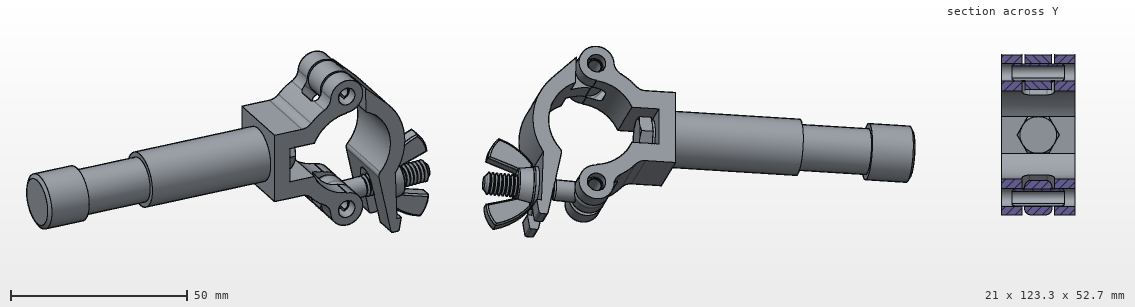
import cadquery as cq
import math


overall_length = 123.3
clamp_width = 21.0
half_width = clamp_width / 2
tube_radius = 12.6
ring_radius = 17.1
eye_radius = 5.0
pivot_y = -1.2
pivot_z = 17.8
pin_radius = 2.6
pin_bore_radius = 1.8
pin_half_length = 7.4
pin_slit_width = 1.7
pin_chamfer = 0.5

block_half_height = 10.5
block_end_y = -24.0
head_slot_half_height = block_half_height / 2
head_slot_floor_y = -19.2
neck_fillet = 4.0
gap_half_width = 4.6
gap_floor_y = -8.8
gap_floor_slope = 45.0
gap_corner_radius = 2.1

spigot_radius = 8.0
groove_radius = 6.5
groove_start_y = -61.4
groove_end_y = -81.4
spigot_chamfer_radial = 1.2
spigot_chamfer_axial = 0.7

hex_across_flats = 10.4
hex_head_height = 3.7
hex_collar_height = 0.7
hex_chamfer_radial = 0.7
hex_chamfer_axial = 0.4
bolt_radius = 3.0
hex_shank_depth = 12.3

swing_tilt = 2.2
swing_end = 30.6
swing_tip_radius = 1.8
swing_tip_chamfer = 1.1
swing_eye_fillet = 2.0
swing_eye_flat = 4.6
swing_eye_half_width = 4.0
tongue_half_width = 3.8
thread_root_radius = 2.3
thread_crest_radius = 3.2
thread_pitch = 1.13
thread_flat = 0.1
thread_start = 10.1
thread_turns = 17

seat_distance = 15.7
washer_radius = 6.2
washer_thickness = 1.0
hub_length = 4.7
hub_collar_radius = 6.0
hub_collar_height = 0.5
hub_base_radius = 5.8
hub_tip_radius = 5.2
hub_chamfer = 0.4
wing_half_thickness = 2.2
wing_chamfer = 0.5

cheek_distance = 5.9
nose_angle = -46.0
nose_fillet = 1.7
foot_fillet = 0.6
lip_across = -7.0
lip_distance = 17.0
foot_across = -11.1
foot_inner_distance = 13.7
foot_outer_distance = 16.2
jaw_slot_half_width = 3.5
jaw_slot_rise = 2.1

overcut = 1.2


def box(x0, x1, y0, y1, z0, z1):
    """Block between the given limits along each axis."""
    return cq.Workplane("XY").box(x1 - x0, y1 - y0, z1 - z0, centered=False).translate((x0, y0, z0))


def cross_cylinder(radius, half_length, y=0.0, z=0.0):
    """Cylinder parallel to X, centred on X = 0."""
    return cq.Workplane("YZ").center(y, z).circle(radius).extrude(half_length, both=True)


def axial_turning(points):
    """Solid of revolution about Y from (radius, y) points."""
    return cq.Workplane("XY").polyline(points).close().revolve(360, (0, 0, 0), (0, 1, 0))


def tilt(body):
    """Move a body built along +Y from the origin onto the swing bolt's axis."""
    return body.rotate((0, 0, 0), (1, 0, 0), swing_tilt).translate((0, pivot_y, -pivot_z))


def tilted_point(along, across):
    """(Y, Z) of a point given along and across the swing bolt's direction from the lower pivot."""
    c = math.cos(math.radians(swing_tilt))
    s = math.sin(math.radians(swing_tilt))
    return (pivot_y + along * c - across * s, -pivot_z + along * s + across * c)


def polar(radius, degrees):
    """(Y, Z) at an angle from +Y, about the tube's axis."""
    return (radius * math.cos(math.radians(degrees)), radius * math.sin(math.radians(degrees)))


def neck_corner():
    """(Y, Z) where the ring's outside meets the outside of the upper eye."""
    distance = math.hypot(pivot_y, pivot_z)
    along = (ring_radius**2 - eye_radius**2 + distance**2) / (2 * distance)
    offset = math.sqrt(ring_radius**2 - along**2)
    unit_y = pivot_y / distance
    unit_z = pivot_z / distance
    return (along * unit_y - offset * unit_z, along * unit_z + offset * unit_y)


def make_knuckle_gap():
    """Cutter for the gap between the upper ears; its sloping floor leads into the bore."""
    size = 4 * eye_radius
    gap_floor_z = math.sqrt(ring_radius**2 - gap_floor_y**2)
    gap = box(-gap_half_width, gap_half_width, 0, size, -size / 2, size)
    gap = gap.edges("|Z and <Y").fillet(gap_corner_radius)
    return gap.rotate((0, 0, 0), (1, 0, 0), 90 - gap_floor_slope).translate((0, gap_floor_y, gap_floor_z))


def make_saddle():
    ring_half = cross_cylinder(ring_radius, half_width).intersect(
        box(-half_width, half_width, -ring_radius, pivot_y, -ring_radius, ring_radius)
    )
    block = box(-half_width, half_width, block_end_y, -tube_radius / 2, -block_half_height, block_half_height)
    body = ring_half.union(block)
    for side in (1, -1):
        body = body.union(cross_cylinder(eye_radius, half_width, pivot_y, side * pivot_z))

    corner_y, corner_z = neck_corner()
    block_corner_y = -math.sqrt(ring_radius**2 - block_half_height**2)
    for side in (1, -1):
        for y, z in ((corner_y, corner_z), (block_corner_y, block_half_height)):
            edge = cq.selectors.NearestToPointSelector((0, y, side * z))
            body = body.edges("|X").edges(edge).fillet(neck_fillet)

    body = body.cut(cross_cylinder(tube_radius, half_width))
    body = body.cut(
        box(-half_width, half_width, head_slot_floor_y, 0, -head_slot_half_height, head_slot_half_height)
    )

    gap = make_knuckle_gap()
    for knuckle_gap in (gap, gap.mirror("XY")):
        body = body.cut(knuckle_gap)
    for side in (1, -1):
        body = body.cut(cross_cylinder(pin_radius, half_width, pivot_y, side * pivot_z))

    shank_hole = axial_turning(
        [
            (0, block_end_y),
            (bolt_radius, block_end_y),
            (bolt_radius, head_slot_floor_y),
            (0, head_slot_floor_y),
        ]
    )
    return body.cut(shank_hole)


def make_spigot():
    tip_y, _ = tilted_point(swing_end, -swing_tip_radius)
    spigot_end_y = tip_y - overall_length
    bore_end_y = block_end_y - hex_shank_depth
    return axial_turning(
        [
            (bolt_radius, block_end_y),
            (spigot_radius, block_end_y),
            (spigot_radius, groove_start_y),
            (groove_radius, groove_start_y),
            (groove_radius, groove_end_y),
            (spigot_radius, groove_end_y),
            (spigot_radius, spigot_end_y + spigot_chamfer_axial),
            (spigot_radius - spigot_chamfer_radial, spigot_end_y),
            (0, spigot_end_y),
            (0, bore_end_y),
            (bolt_radius, bore_end_y),
        ]
    )


def make_hex_bolt():
    collar_y = head_slot_floor_y + hex_collar_height
    collar_radius = hex_across_flats / 2
    corner_radius = collar_radius / math.cos(math.pi / 6)
    shank_end_y = block_end_y - hex_shank_depth
    head = (
        cq.Workplane("XZ", origin=(0, collar_y, 0))
        .polygon(6, 2 * corner_radius)
        .extrude(-hex_head_height)
    )
    head_end_y = collar_y + hex_head_height
    head = head.intersect(
        axial_turning(
            [
                (0, collar_y),
                (corner_radius, collar_y),
                (corner_radius, head_end_y - hex_chamfer_axial),
                (corner_radius - hex_chamfer_radial, head_end_y),
                (0, head_end_y),
            ]
        )
    )
    shank = axial_turning(
        [
            (0, shank_end_y),
            (bolt_radius, shank_end_y),
            (bolt_radius, head_slot_floor_y),
            (collar_radius, head_slot_floor_y),
            (collar_radius, collar_y),
            (0, collar_y),
        ]
    )
    return head.union(shank)


def make_jaw():
    pivot_distance = math.hypot(pivot_y, pivot_z)
    pivot_angle = math.degrees(math.atan2(pivot_z, pivot_y))
    lean = math.degrees(math.acos((ring_radius - eye_radius) / pivot_distance))
    flank_angle = pivot_angle - lean
    flank_y, flank_z = polar(eye_radius, flank_angle)

    tilt_rad = math.radians(swing_tilt)
    seat_from_centre = pivot_y * math.cos(tilt_rad) - pivot_z * math.sin(tilt_rad) + seat_distance
    seat_angle = swing_tilt - math.degrees(math.acos(seat_from_centre / ring_radius))

    foot_inner = tilted_point(foot_inner_distance, foot_across)
    foot_outer = tilted_point(foot_outer_distance, foot_across)
    profile = (
        cq.Workplane("YZ")
        .moveTo(pivot_y + flank_y, pivot_z + flank_z)
        .lineTo(*polar(ring_radius, flank_angle))
        .threePointArc(polar(ring_radius, (flank_angle + seat_angle) / 2), polar(ring_radius, seat_angle))
        .lineTo(*tilted_point(seat_distance, lip_across))
        .lineTo(*tilted_point(lip_distance, lip_across))
        .lineTo(*foot_outer)
        .lineTo(*foot_inner)
        .lineTo(*polar(tube_radius, nose_angle))
        .threePointArc(polar(tube_radius, (nose_angle + pivot_angle) / 2), polar(tube_radius, pivot_angle))
        .lineTo(pivot_y, pivot_z)
        .close()
    )
    body = profile.extrude(half_width, both=True)
    rounded_corners = (
        (polar(tube_radius, nose_angle), nose_fillet),
        (foot_inner, foot_fillet),
        (foot_outer, foot_fillet),
    )
    for (y, z), radius in rounded_corners:
        edge = cq.selectors.NearestToPointSelector((0, y, z))
        body = body.edges("|X").edges(edge).fillet(radius)
    body = body.union(cross_cylinder(eye_radius, tongue_half_width, pivot_y, pivot_z))

    reach = 2 * eye_radius
    for side in (1, -1):
        x0, x1 = sorted((side * tongue_half_width, side * half_width))
        cheek = box(x0, x1, -reach, cheek_distance, -reach, reach)
        cheek = cheek.rotate((0, 0, 0), (1, 0, 0), swing_tilt).translate((0, pivot_y, pivot_z))
        body = body.cut(cheek)
    body = body.cut(cross_cylinder(pin_radius, half_width, pivot_y, pivot_z))

    slot_start = cheek_distance
    slot_end = seat_distance + washer_thickness + overcut
    slot = box(
        -jaw_slot_half_width, jaw_slot_half_width, slot_start, slot_end, foot_across - overcut, jaw_slot_rise
    ).union(
        cq.Workplane("XZ", origin=(0, slot_start, 0))
        .center(0, jaw_slot_rise)
        .circle(jaw_slot_half_width)
        .extrude(slot_start - slot_end)
    )
    return body.cut(tilt(slot))


def make_roll_pin(z):
    pin = cross_cylinder(pin_radius, pin_half_length).edges().chamfer(pin_chamfer)
    pin = pin.cut(cross_cylinder(pin_bore_radius, half_width))
    slit = box(-half_width, half_width, -pin_slit_width / 2, pin_slit_width / 2, -2 * pin_radius, 0)
    return pin.cut(slit).translate((0, pivot_y, z))


def make_swing_bolt():
    points = [(0, 0), (bolt_radius, 0), (bolt_radius, thread_start)]
    ramp = (thread_pitch - 2 * thread_flat) / 2
    for turn in range(thread_turns):
        start = thread_start + turn * thread_pitch
        points += [
            (thread_root_radius, start + ramp),
            (thread_root_radius, start + ramp + thread_flat),
            (thread_crest_radius, start + thread_pitch - thread_flat),
            (thread_crest_radius, start + thread_pitch),
        ]
    points += [
        (thread_root_radius, swing_end - swing_tip_chamfer / 2),
        (swing_tip_radius, swing_end),
        (0, swing_end),
    ]
    eye = cross_cylinder(eye_radius, swing_eye_half_width).edges().fillet(swing_eye_fillet)
    back = box(-half_width, half_width, -swing_eye_flat, 2 * eye_radius, -eye_radius, eye_radius)
    bolt = eye.intersect(back).union(axial_turning(points))
    return tilt(bolt.cut(cross_cylinder(pin_radius, half_width)))


def make_washer():
    washer_end = seat_distance + washer_thickness
    return tilt(
        axial_turning(
            [
                (thread_crest_radius, seat_distance),
                (washer_radius, seat_distance),
                (washer_radius, washer_end),
                (thread_crest_radius, washer_end),
            ]
        )
    )


def make_wing():
    """One wing, on the +Z side of the hub; corners are (along, across) the swing bolt."""
    root_across = 4.0
    base = (17.0, 6.4)
    shoulder = (21.5, 10.5)
    outer_corner = (27.0, 13.1)
    edge_middle = (29.0, 10.5)
    inner_corner = (30.0, 6.9)
    hub_corner = (22.5, 4.6)
    root_end = 21.0
    wing = (
        cq.Workplane("YZ")
        .moveTo(base[0], root_across)
        .lineTo(*base)
        .threePointArc(shoulder, outer_corner)
        .threePointArc(edge_middle, inner_corner)
        .lineTo(*hub_corner)
        .lineTo(root_end, root_across)
        .close()
        .extrude(wing_half_thickness, both=True)
    )
    return wing.faces("<X or >X").edges().chamfer(wing_chamfer)


def make_wing_nut():
    base = seat_distance + washer_thickness
    tip = base + hub_length
    hub = axial_turning(
        [
            (thread_crest_radius, base),
            (hub_collar_radius, base),
            (hub_collar_radius, base + hub_collar_height),
            (hub_base_radius, base + hub_collar_height),
            (hub_tip_radius, tip - hub_chamfer),
            (hub_tip_radius - hub_chamfer, tip),
            (thread_crest_radius, tip),
        ]
    )
    wing = make_wing()
    return tilt(hub.union(wing).union(wing.mirror("XY")))


saddle = make_saddle()
spigot = make_spigot()
hex_bolt = make_hex_bolt()
jaw = make_jaw()
roll_pins = [make_roll_pin(side * pivot_z) for side in (1, -1)]
swing_bolt = make_swing_bolt()
washer = make_washer()
wing_nut = make_wing_nut()

result = cq.Compound.makeCompound(
    [
        saddle.val(),
        spigot.val(),
        hex_bolt.val(),
        jaw.val(),
        *[pin.val() for pin in roll_pins],
        swing_bolt.val(),
        washer.val(),
        wing_nut.val(),
    ]
)